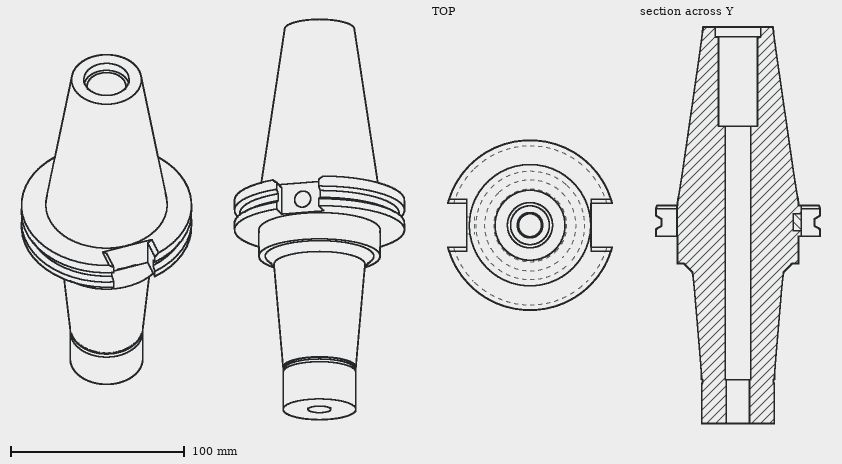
import cadquery as cq
import math

total_height = 228.5
gauge_z = 127.0
flange_top_z = 125.7
flange_bottom_z = 108.0
collar_bottom_z = 92.1
shoulder_bottom_z = 87.0
nose_taper_end_z = 25.4

gauge_radius = 35.0
taper_ratio = 7 / 24
taper_end_radius = gauge_radius - (total_height - gauge_z) * taper_ratio / 2

flange_diameter = 98.0
flange_radius = flange_diameter / 2
groove_radius = 46.0
groove_floor_top_z = 118.0
groove_floor_bottom_z = 113.8
groove_flank_rise = (flange_radius - groove_radius) * math.tan(math.radians(30))

shoulder_radius = 31.3
nose_top_radius = shoulder_radius - (collar_bottom_z - shoulder_bottom_z)
nose_end_radius = 21.0
relief_radius = 20.3
relief_floor_bottom_z = 24.2
relief_bottom_z = 22.5

slot_width = 25.1
left_slot_floor_x = -36.5
right_slot_floor_x = 35.2
slot_chamfer_width = 2.5
slot_chamfer_height = 1.8

chip_radius = 4.8
chip_thickness = 4.5
chip_z = 116.0

counterbore_radius = 13.0
counterbore_depth = 5.7
drawbar_bore_radius = 11.2
drawbar_bore_depth = 57.2
through_radius = 7.3
nose_bore_radius = 6.6


def vertical_cylinder(radius, bottom_z, top_z):
    return cq.Workplane("XY").workplane(offset=bottom_z).circle(radius).extrude(top_z - bottom_z)


def revolved_holder():
    profile = [
        (0, 0),
        (nose_end_radius, 0),
        (nose_end_radius, relief_bottom_z),
        (relief_radius, relief_floor_bottom_z),
        (relief_radius, nose_taper_end_z),
        (nose_end_radius, nose_taper_end_z),
        (nose_top_radius, shoulder_bottom_z),
        (shoulder_radius, collar_bottom_z),
        (gauge_radius, collar_bottom_z),
        (gauge_radius, flange_bottom_z),
        (flange_radius, flange_bottom_z),
        (flange_radius, groove_floor_bottom_z - groove_flank_rise),
        (groove_radius, groove_floor_bottom_z),
        (groove_radius, groove_floor_top_z),
        (flange_radius, groove_floor_top_z + groove_flank_rise),
        (flange_radius, flange_top_z),
        (gauge_radius, flange_top_z),
        (gauge_radius, gauge_z),
        (taper_end_radius, total_height),
        (0, total_height),
    ]
    return cq.Workplane("YZ").polyline(profile).close().revolve(360, (0, 0, 0), (0, 1, 0))


def drive_slot(floor_x):
    """Slot with a chamfered mouth on the flange top, from its floor out past the rim."""
    side = math.copysign(1, floor_x)
    half_width = slot_width / 2
    mouth_half_width = half_width + slot_chamfer_width
    chamfer_z = flange_top_z - slot_chamfer_height
    outline = [
        (-half_width, flange_bottom_z),
        (half_width, flange_bottom_z),
        (half_width, chamfer_z),
        (mouth_half_width, flange_top_z),
        (-mouth_half_width, flange_top_z),
        (-half_width, chamfer_z),
    ]
    floor_plane = cq.Workplane("YZ").workplane(offset=floor_x)
    return floor_plane.polyline(outline).close().extrude(side * flange_radius - floor_x)


def make_chip():
    floor_plane = cq.Workplane("YZ").workplane(offset=left_slot_floor_x)
    return floor_plane.center(0, chip_z).circle(chip_radius).extrude(chip_thickness)


def cut_bores(holder):
    counterbore_floor_z = total_height - counterbore_depth
    drawbar_floor_z = total_height - drawbar_bore_depth
    holder = holder.cut(vertical_cylinder(counterbore_radius, counterbore_floor_z, total_height))
    holder = holder.cut(vertical_cylinder(drawbar_bore_radius, drawbar_floor_z, total_height))
    holder = holder.cut(vertical_cylinder(through_radius, nose_taper_end_z, total_height))
    return holder.cut(vertical_cylinder(nose_bore_radius, 0, total_height))


def make_holder(chip):
    holder = revolved_holder()
    for floor_x in (left_slot_floor_x, right_slot_floor_x):
        holder = holder.cut(drive_slot(floor_x))
    holder = cut_bores(holder)
    return holder.cut(chip)


chip = make_chip()
holder = make_holder(chip)

result = cq.Compound.makeCompound([holder.val(), chip.val()])